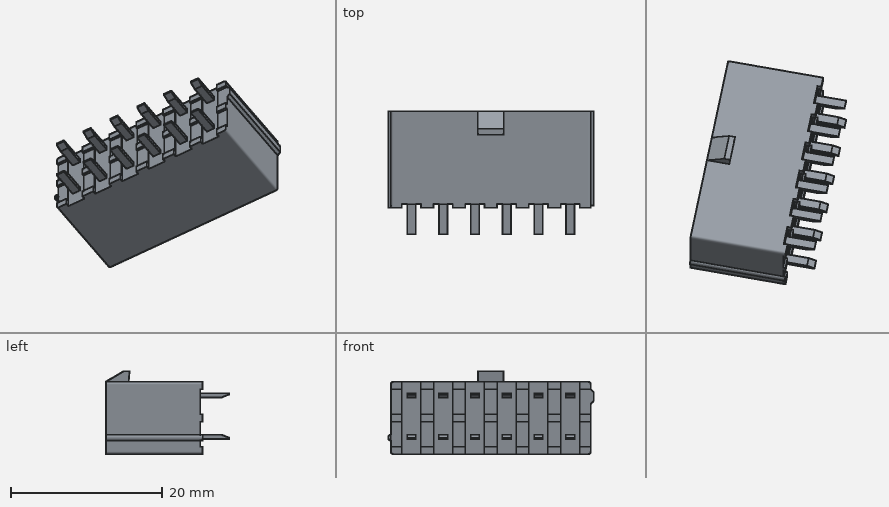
import cadquery as cq

BODY_WIDTH = 26.45
BODY_DEPTH = 12.8
BODY_HEIGHT = 9.6
CORNER_RADIUS = 0.35

PAD_STANDOFF = 0.3
PAD_HEIGHT = 1.0
CHANNEL_WIDTH = 2.5
CHANNEL_DEPTH = 0.5

PIN_COLUMNS = 6
PIN_PITCH = 4.2
PIN_ROW_SPACING = 5.5
LOWER_PIN_Z = 2.3
PIN_WIDTH = 1.15
PIN_THICKNESS = 0.6
PIN_LENGTH = 3.5
PIN_TAPER_LENGTH = 1.0
PIN_TIP_THICKNESS = 0.2

LATCH_WIDTH = 3.4
LATCH_HEIGHT = 1.4
LATCH_LENGTH = 3.15
LATCH_RAMP_LENGTH = 2.35
LATCH_UNDERCUT = 0.12

ROUND_RAIL_PROJECTION = 0.35
ROUND_RAIL_HEIGHT = 0.8
ROUND_RAIL_BOTTOM = 1.8
BEVEL_RAIL_PROJECTION = 0.4
BEVEL_RAIL_HEIGHT = 1.95
BEVEL_RAIL_TOP = BODY_HEIGHT - PAD_HEIGHT

HALF_WIDTH = BODY_WIDTH / 2
UPPER_PIN_Z = LOWER_PIN_Z + PIN_ROW_SPACING
PIN_X = [(i - (PIN_COLUMNS - 1) / 2) * PIN_PITCH for i in range(PIN_COLUMNS)]


def block(x_min, y_min, z_min, width, depth, height):
    """Box placed by its minimum corner."""
    return cq.Workplane("XY").box(width, depth, height, centered=False).translate((x_min, y_min, z_min))


def side_prism(points, x_center, width):
    """Prism along X from a closed (y, z) outline."""
    start = cq.Workplane("YZ", origin=(x_center - width / 2, 0, 0))
    return start.polyline(points).close().extrude(width)


def make_housing():
    """Rounded block, relieved between three rows of pads and along each pin column."""
    housing = block(-HALF_WIDTH, 0, 0, BODY_WIDTH, BODY_DEPTH, BODY_HEIGHT)
    housing = housing.edges("|Y").fillet(CORNER_RADIUS)

    relief_height = (BODY_HEIGHT - 3 * PAD_HEIGHT) / 2
    for row in range(2):
        relief_bottom = PAD_HEIGHT + row * (relief_height + PAD_HEIGHT)
        relief = block(-HALF_WIDTH, 0, relief_bottom, BODY_WIDTH, PAD_STANDOFF, relief_height)
        housing = housing.cut(relief)

    for x in PIN_X:
        channel = block(x - CHANNEL_WIDTH / 2, 0, 0, CHANNEL_WIDTH, CHANNEL_DEPTH, BODY_HEIGHT)
        housing = housing.cut(channel)
    return housing


def make_pin(x, z, taper_side):
    """Flat pin rooted in the channel floor; taper_side (+1 or -1) is the Z side bevelled at the tip."""
    straight_z = z - taper_side * PIN_THICKNESS / 2
    tapered_z = z + taper_side * PIN_THICKNESS / 2
    outline = [
        (CHANNEL_DEPTH, straight_z),
        (-PIN_LENGTH, straight_z),
        (-PIN_LENGTH, straight_z + taper_side * PIN_TIP_THICKNESS),
        (-PIN_LENGTH + PIN_TAPER_LENGTH, tapered_z),
        (CHANNEL_DEPTH, tapered_z),
    ]
    return side_prism(outline, x, PIN_WIDTH)


def make_latch():
    """Ramp rising from the mating end to a slightly undercut catch face."""
    top = BODY_HEIGHT + LATCH_HEIGHT
    catch_y = BODY_DEPTH - LATCH_LENGTH
    outline = [
        (BODY_DEPTH, BODY_HEIGHT),
        (BODY_DEPTH - LATCH_RAMP_LENGTH, top),
        (catch_y, top),
        (catch_y + LATCH_UNDERCUT, BODY_HEIGHT),
    ]
    return side_prism(outline, 0, LATCH_WIDTH)


def make_round_rail():
    """Full-depth rail with rounded outer edges on the -X end."""
    width = 2 * ROUND_RAIL_PROJECTION
    outer_x = -HALF_WIDTH - ROUND_RAIL_PROJECTION
    rail = block(outer_x, 0, ROUND_RAIL_BOTTOM, width, BODY_DEPTH, ROUND_RAIL_HEIGHT)
    rail = rail.edges("|Y and <X").fillet(ROUND_RAIL_PROJECTION)
    return rail.cut(block(-HALF_WIDTH, 0, 0, width, PAD_STANDOFF, BODY_HEIGHT))


def make_bevel_rail():
    """Rail with 45 degree flanks on the +X end, starting at the relieved face."""
    bottom = BEVEL_RAIL_TOP - BEVEL_RAIL_HEIGHT
    outer_x = HALF_WIDTH + BEVEL_RAIL_PROJECTION
    outline = [
        (HALF_WIDTH, bottom),
        (outer_x, bottom + BEVEL_RAIL_PROJECTION),
        (outer_x, BEVEL_RAIL_TOP - BEVEL_RAIL_PROJECTION),
        (HALF_WIDTH, BEVEL_RAIL_TOP),
    ]
    start = cq.Workplane("XZ", origin=(0, BODY_DEPTH, 0))
    return start.polyline(outline).close().extrude(BODY_DEPTH - PAD_STANDOFF)


result = make_housing().union(make_latch()).union(make_round_rail()).union(make_bevel_rail())
for pin_x in PIN_X:
    result = result.union(make_pin(pin_x, LOWER_PIN_Z, 1))
    result = result.union(make_pin(pin_x, UPPER_PIN_Z, -1))